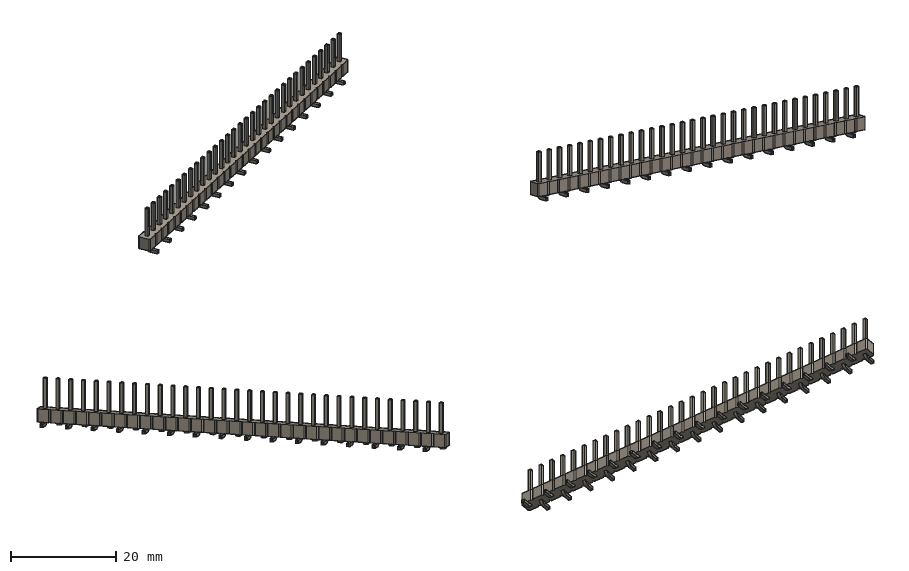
import cadquery as cq

pin_count = 32
pitch = 2.54
housing_width = pitch
housing_height = pitch
corner_bevel = pitch / 10
standoff = 0.76

overall_height = 9.3
foot_span = 5.0
wire = 0.64
inner_bend_radius = wire
outer_bend_radius = inner_bend_radius + wire
tip_bevel = wire / 4

row_length = pin_count * pitch


def pin_y(index):
    """Y position of a pin, counted from the -Y end of the row."""
    return (index + 0.5) * pitch - row_length / 2


def make_housing_block():
    """One housing block, centred on its pin."""
    return (
        cq.Workplane("XY")
        .workplane(offset=standoff)
        .rect(housing_width, pitch)
        .extrude(housing_height)
        .edges("|Z")
        .chamfer(corner_bevel)
    )


def make_pin():
    """One pin with its foot pointing to +X and both ends bevelled."""
    post = (
        cq.Workplane("XY")
        .rect(wire, wire)
        .extrude(overall_height)
        .faces(">Z")
        .chamfer(tip_bevel)
    )
    foot_length = foot_span / 2 + wire / 2
    foot = (
        cq.Workplane("XY")
        .box(foot_length, wire, wire, centered=(False, True, False))
        .translate((-wire / 2, 0, 0))
        .faces(">X")
        .chamfer(tip_bevel)
    )
    heel = cq.selectors.NearestToPointSelector((-wire / 2, 0, 0))
    instep = cq.selectors.NearestToPointSelector((wire / 2, 0, wire))
    bent = post.union(foot).edges(heel).fillet(outer_bend_radius)
    return bent.edges(instep).fillet(inner_bend_radius)


def make_header():
    """The whole row, with feet alternating between +X and -X."""
    block = make_housing_block().val()
    right_pin = make_pin().val()
    left_pin = right_pin.rotate(cq.Vector(0, 0, 0), cq.Vector(0, 0, 1), 180)
    blocks = []
    pins = []
    for index in range(pin_count):
        place = cq.Vector(0, pin_y(index), 0)
        pin = right_pin if index % 2 == 0 else left_pin
        blocks.append(block.translate(place))
        pins.append(pin.translate(place))
    housing = blocks[0].fuse(*blocks[1:])
    return cq.Workplane(housing.fuse(*pins).clean())


result = make_header()